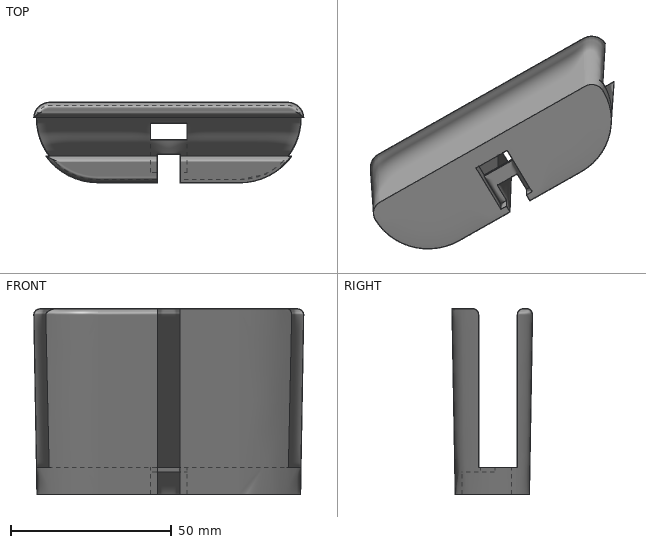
import cadquery as cq
import math

height = 58.0
draft_angle = 1.0
base_width = 82.25
base_depth = 23.19
back_corner_radius = 4.1
front_corner_radius = base_depth - back_corner_radius

slot_width = 12.0
slot_floor_z = 8.5
back_plate_base_thickness = 3.82
slot_back_y = slot_width / 2
slot_front_y = -slot_width / 2
base_back_y = slot_back_y + back_plate_base_thickness
base_front_y = base_back_y - base_depth

notch_width = 7.15
notch_slot_overlap = 0.5
notch_back_y = slot_front_y + notch_slot_overlap

connector_width = 11.25
connector_depth = 5.1
connector_back_y = 4.2
pocket_height = 7.0
pocket_front_wall = 2.2

top_fillet_radius = 2.0

clearance = 5.0

edge_tolerance = 0.1

draft_growth = height * math.tan(math.radians(draft_angle))
top_back_y = base_back_y + draft_growth
top_front_y = base_front_y - draft_growth
top_half_width = base_width / 2 + draft_growth


def box_between(x_min, x_max, y_min, y_max, z_min, z_max):
    """Axis-aligned block given by its two limits along each axis."""
    size = (x_max - x_min, y_max - y_min, z_max - z_min)
    return cq.Workplane("XY").box(*size, centered=False).translate((x_min, y_min, z_min))


def tapered_body():
    """Solid block with rounded corners that widens upwards."""
    half_width = base_width / 2
    back_flat = half_width - back_corner_radius
    front_flat = half_width - front_corner_radius
    side_y = base_back_y - back_corner_radius
    diagonal = math.sqrt(0.5)
    back_mid_x = back_flat + back_corner_radius * diagonal
    back_mid_y = side_y + back_corner_radius * diagonal
    front_mid_x = front_flat + front_corner_radius * diagonal
    front_mid_y = side_y - front_corner_radius * diagonal
    outline = (
        cq.Workplane("XY")
        .moveTo(-front_flat, base_front_y)
        .lineTo(front_flat, base_front_y)
        .threePointArc((front_mid_x, front_mid_y), (half_width, side_y))
        .threePointArc((back_mid_x, back_mid_y), (back_flat, base_back_y))
        .lineTo(-back_flat, base_back_y)
        .threePointArc((-back_mid_x, back_mid_y), (-half_width, side_y))
        .threePointArc((-front_mid_x, front_mid_y), (-front_flat, base_front_y))
        .close()
    )
    return outline.extrude(height, taper=-draft_angle)


def slot_cutter():
    """Full-width slot, open at the top."""
    half_length = top_half_width + clearance
    return box_between(
        -half_length, half_length, slot_front_y, slot_back_y, slot_floor_z, height + clearance
    )


def notch_cutter():
    """Full-height notch through the middle of the front."""
    return box_between(
        -notch_width / 2,
        notch_width / 2,
        top_front_y - clearance,
        notch_back_y,
        -clearance,
        height + clearance,
    )


def connector_cutter():
    """Rectangular hole through the slot floor."""
    connector_front_y = connector_back_y - connector_depth
    return box_between(
        -connector_width / 2,
        connector_width / 2,
        connector_front_y,
        connector_back_y,
        -clearance,
        slot_floor_z + clearance,
    )


def pocket_cutter():
    """Pocket in the underside that joins the connector hole to the notch."""
    return box_between(
        -connector_width / 2,
        connector_width / 2,
        base_front_y + pocket_front_wall,
        connector_back_y,
        -clearance,
        pocket_height,
    )


def top_edges(body, x_limits, y_limits):
    """Edges of the top face whose middle lies inside the given limits."""
    low_corner = (x_limits[0], y_limits[0], height - edge_tolerance)
    high_corner = (x_limits[1], y_limits[1], height + edge_tolerance)
    return body.edges(cq.selectors.BoxSelector(low_corner, high_corner))


def round_back_plate(body):
    """Round the whole top rim of the back plate."""
    x_limits = (-top_half_width - clearance, top_half_width + clearance)
    y_limits = (0, top_back_y + clearance)
    return top_edges(body, x_limits, y_limits).fillet(top_fillet_radius)


def round_cheeks(body):
    """Round both cheeks along the slot, and the left cheek along its outer side too."""
    x_limit = top_half_width + clearance
    slot_y_limits = (slot_front_y - edge_tolerance, slot_front_y + edge_tolerance)
    left_outer_x_limits = (-x_limit, -notch_width / 2 - edge_tolerance)
    outer_y_limits = (top_front_y - clearance, slot_front_y - edge_tolerance)

    slot_edges = top_edges(body, (-x_limit, x_limit), slot_y_limits)
    left_outer_edges = top_edges(body, left_outer_x_limits, outer_y_limits)
    return slot_edges.add(left_outer_edges).fillet(top_fillet_radius)


body = tapered_body().cut(slot_cutter()).cut(notch_cutter())
body = body.cut(connector_cutter()).cut(pocket_cutter())
body = round_back_plate(body)
result = round_cheeks(body)